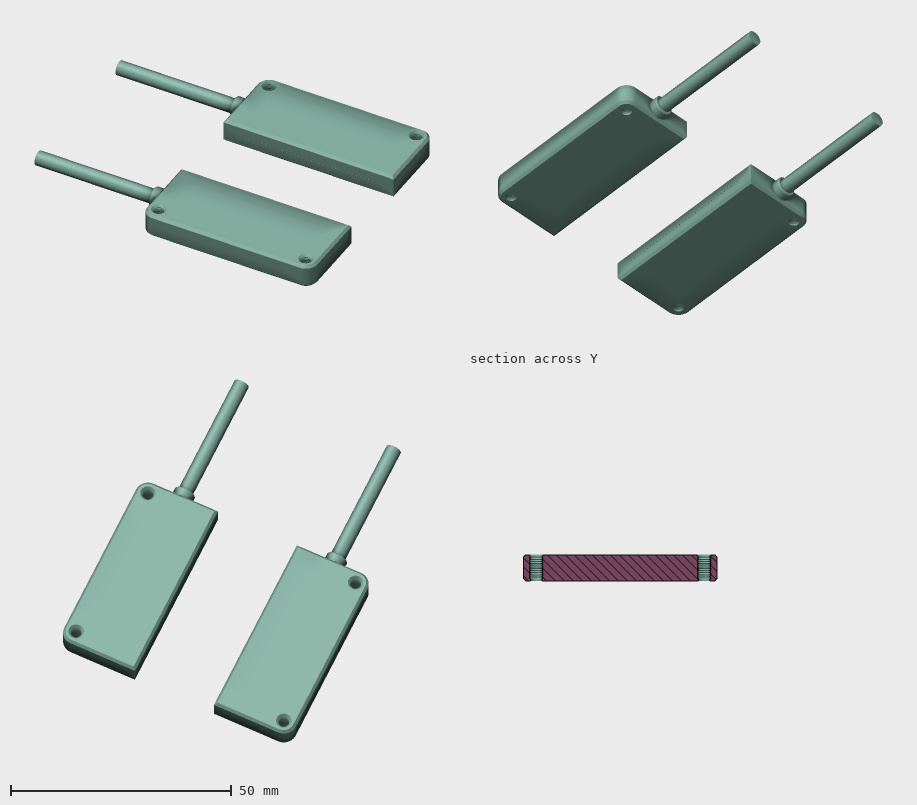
import cadquery as cq

total_length = 76.0
total_width = 58.0
housing_length = 44.0
housing_width = 19.1
housing_height = 6.0
corner_radius = 3.0
edge_chamfer = 0.6

hole_diameter = 2.5
hole_rim_diameter = 3.5
thread_pitch = 0.5
thread_depth = 0.2
thread_count = 10

opening_count = 34
opening_pitch = 1.1
opening_diameter = 0.3
opening_depth = 0.3

cable_diameter = 3.6
cable_inward_offset = 0.4
collar_diameter = 5.0
collar_length = 2.1
collar_chamfer = 0.2

cable_free_length = total_length - housing_length
hole_radius = hole_diameter / 2
thread_radius = hole_radius + thread_depth
rim_radius = hole_rim_diameter / 2
hole_chamfer = rim_radius - thread_radius
housing_center_y = (total_width - housing_width) / 2
inner_side_y = total_width / 2 - housing_width
cable_y = housing_center_y - cable_inward_offset
hole_y = total_width / 2 - corner_radius
hole_x_positions = (corner_radius, housing_length - corner_radius)


def cylinder_along_x(diameter, x_start, length):
    """Round bar on the cable axis, running toward +X from x_start."""
    plane = cq.Workplane("YZ", origin=(x_start, cable_y, 0))
    return plane.circle(diameter / 2).extrude(length)


def make_collar():
    """Round collar on the housing face, chamfered at its free end."""
    collar = cylinder_along_x(collar_diameter, -collar_length, collar_length)
    return collar.faces("<X").chamfer(collar_chamfer)


def make_threaded_hole():
    """Cutter for a through hole: conical rim at the top, ring-shaped V grooves as its thread."""
    top = housing_height / 2
    thread_top = top - hole_chamfer
    profile = (
        cq.Workplane("XZ")
        .moveTo(0, top)
        .lineTo(rim_radius, top)
        .lineTo(thread_radius, thread_top)
    )
    for groove in range(1, thread_count + 1):
        groove_z = thread_top - groove * thread_pitch
        profile = profile.lineTo(hole_radius, groove_z + thread_pitch / 2)
        profile = profile.lineTo(thread_radius, groove_z)
    profile = profile.lineTo(hole_radius, groove_z - thread_pitch / 2)
    profile = profile.lineTo(hole_radius, -top).lineTo(0, -top).close()
    return profile.revolve(360, (0, 0, 0), (0, 1, 0))


def make_openings():
    """Cutter for the row of blind openings, centred on the inner side of the housing."""
    row_center = (housing_length / 2, inner_side_y, 0)
    return (
        cq.Workplane("XZ", origin=row_center)
        .rarray(opening_pitch, 0.75, opening_count, 1)
        .circle(opening_diameter / 2)
        .extrude(-opening_depth)
    )


def make_housing():
    """Housing on the +Y side: outer corners rounded, inner corners square, collar on the -X face."""
    center = (housing_length / 2, housing_center_y, 0)
    housing = cq.Workplane("XY", origin=center).box(housing_length, housing_width, housing_height)
    housing = housing.edges("|Z and >Y").fillet(corner_radius)
    housing = housing.faces(">Z or <Z").chamfer(edge_chamfer)
    threaded_hole = make_threaded_hole()
    for hole_x in hole_x_positions:
        housing = housing.cut(threaded_hole.translate((hole_x, hole_y, 0)))
    cable_bore = cylinder_along_x(cable_diameter, -collar_length, collar_length)
    return housing.cut(make_openings()).union(make_collar()).cut(cable_bore)


def make_cable():
    """Cable passing through the collar and ending at the housing face."""
    return cylinder_along_x(cable_diameter, -cable_free_length, cable_free_length)


bodies = []
for make_body in (make_housing, make_cable):
    body = make_body()
    bodies.append(body.val())
    bodies.append(body.mirror("XZ").val())

result = cq.Compound.makeCompound(bodies)